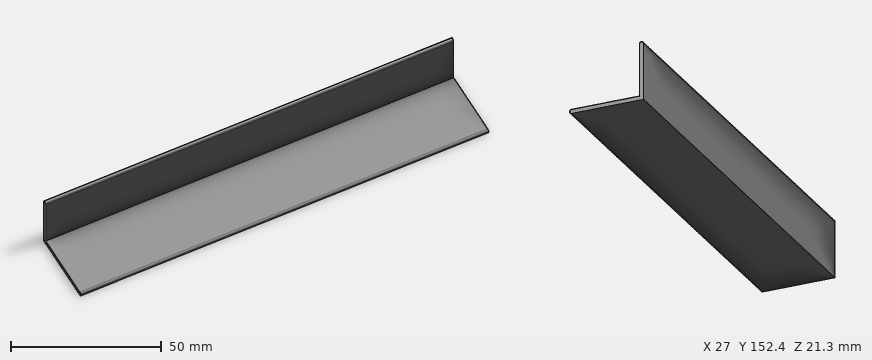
import cadquery as cq

length = 152.4
base_width = 27.0
wall_height = 21.3
thickness = 1.5
tip_radius = thickness / 2

section = (
    cq.Workplane("XZ")
    .lineTo(base_width - tip_radius, 0)
    .threePointArc((base_width, tip_radius), (base_width - tip_radius, thickness))
    .lineTo(thickness, thickness)
    .lineTo(thickness, wall_height - tip_radius)
    .threePointArc((tip_radius, wall_height), (0, wall_height - tip_radius))
    .close()
)

result = section.extrude(-length)